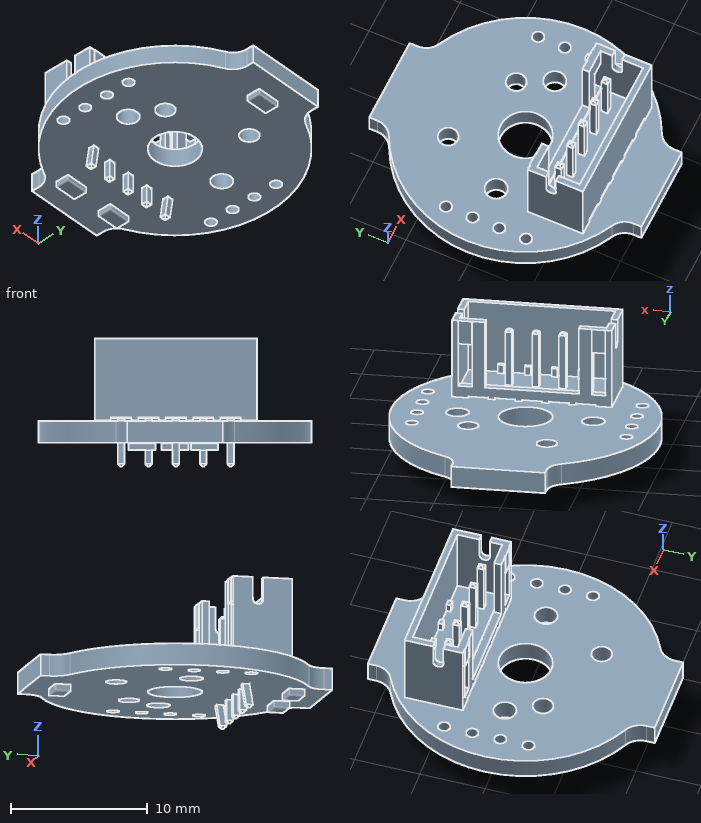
import cadquery as cq
import math

BOARD_DIAMETER = 20.0
BOARD_LENGTH = 22.0
BOARD_THICKNESS = 1.6
BOARD_BOTTOM_Z = -BOARD_THICKNESS
TAB_WIDTH = 7.0
TAB_FILLET = 1.5

HOLE_GRID = 2.53
BORE_DIAMETER = 3.98
SIDE_HOLE_DIAMETER = 1.7
UPPER_HOLE_DIAMETER = 1.52
EDGE_HOLE_DIAMETER = 0.9
EDGE_HOLE_PITCH = 2.15
EDGE_HOLE_COUNT = 4
EDGE_ROW_CENTERS = [(-8.0, -0.55), (7.96, -0.53)]

HOUSING_X = 0.07
HOUSING_WIDTH = 11.9
HOUSING_HEIGHT = 6.0
HOUSING_FRONT_Y = -7.4
HOUSING_BACK_Y = -2.93
HOUSING_BOTTOM_Z = 0.05
RIM_Z = HOUSING_BOTTOM_Z + HOUSING_HEIGHT

WALL = 0.48
BACK_WALL = 0.55
SILL_WALL = 0.62
FLOOR_HEIGHT = 0.65
SILL_HEIGHT = 0.88
INNER_WIDTH = HOUSING_WIDTH - 2 * WALL
INNER_FRONT_Y = HOUSING_FRONT_Y + WALL
INNER_BACK_Y = HOUSING_BACK_Y - BACK_WALL
FLOOR_Z = HOUSING_BOTTOM_Z + FLOOR_HEIGHT
SILL_Z = HOUSING_BOTTOM_Z + SILL_HEIGHT

BACK_OPENING_WIDTH = 7.0
WINDOW_WIDTH = 1.01
LINTEL_HEIGHT = 1.8
LINTEL_PROUD = 0.05
LINTEL_Z = RIM_Z - LINTEL_HEIGHT

NOTCH_WIDTH = 0.8
NOTCH_DEPTH = 2.0
NOTCH_Y = -4.82

RIB_WIDTH = 0.45
RIB_DEPTH = 0.33
RIB_HEIGHT = 0.65

CHANNEL_WIDTH = 1.5
CHANNEL_HEIGHT = 0.1
CHANNEL_MOUTH_HEIGHT = 0.25
CHANNEL_MOUTH_DEPTH = 0.07

PIN_COUNT = 5
PIN_PITCH = 2.0
PIN_SIZE = 0.5
PIN_Y = -4.6
PIN_TOP_Z = RIM_Z - 1.01
PIN_END_Z = HOUSING_BOTTOM_Z - 3.39
PIN_TIP = 0.2
KINK_OFFSET = 0.26
KINK_START_Z = -0.22
PIN_XS = [HOUSING_X + (i - (PIN_COUNT - 1) / 2) * PIN_PITCH for i in range(PIN_COUNT)]

CHIP_WIDTH = 2.0
CHIP_DEPTH = 1.2
CHIP_HEIGHT = 0.5
CHIP_FILLET = 0.05
CHIP_GAP = 0.02
CHIP_CENTERS = [(-2.42, -8.34), (2.15, -8.34), (0.0, 8.7)]


def box(x_mid, width, y_min, y_max, z_min, z_max):
    """Box centered on x_mid, between two Y limits and two Z limits."""
    block = cq.Workplane("XY").box(width, y_max - y_min, z_max - z_min, centered=(True, False, False))
    return block.translate((x_mid, y_min, z_min))


def prism(x_mid, width, profile):
    """Extrusion along X, centered on x_mid, of a closed profile of (Y, Z) points."""
    solid = cq.Workplane("YZ").polyline(profile).close().extrude(width / 2, both=True)
    return solid.translate((x_mid, 0, 0))



def board_outline():
    radius = BOARD_DIAMETER / 2
    half_tab = TAB_WIDTH / 2
    joint_y = math.sqrt(radius**2 - half_tab**2)
    seam_in_tab = cq.Plane(origin=(0, 0, 0), xDir=(0, 1, 0), normal=(0, 0, 1))
    disc = cq.Workplane(seam_in_tab).circle(radius).extrude(-BOARD_THICKNESS)
    tabs = cq.Workplane("XY").rect(TAB_WIDTH, BOARD_LENGTH).extrude(-BOARD_THICKNESS)
    margin = 0.22
    joints = cq.selectors.BoxSelector(
        (-half_tab - margin, -joint_y - margin, BOARD_BOTTOM_Z - margin),
        (half_tab + margin, joint_y + margin, margin),
    )
    return disc.union(tabs).edges("|Z").edges(joints).fillet(TAB_FILLET)


def drills(centers, diameter):
    return cq.Workplane("XY").pushPoints(centers).circle(diameter / 2).extrude(-BOARD_THICKNESS)


def make_board():
    board = board_outline()
    board = board.cut(drills([(0, 0)], BORE_DIAMETER))
    side_centers = [(-2 * HOLE_GRID, 0), (2 * HOLE_GRID, 0)]
    board = board.cut(drills(side_centers, SIDE_HOLE_DIAMETER))
    upper_centers = [(-HOLE_GRID, 2 * HOLE_GRID), (1.5 * HOLE_GRID, HOLE_GRID)]
    board = board.cut(drills(upper_centers, UPPER_HOLE_DIAMETER))
    for row_x, row_y in EDGE_ROW_CENTERS:
        first_y = row_y - (EDGE_HOLE_COUNT - 1) / 2 * EDGE_HOLE_PITCH
        row = [(row_x, first_y + i * EDGE_HOLE_PITCH) for i in range(EDGE_HOLE_COUNT)]
        board = board.cut(drills(row, EDGE_HOLE_DIAMETER))
    return board



def housing_shell():
    shell = box(HOUSING_X, HOUSING_WIDTH, HOUSING_FRONT_Y, HOUSING_BACK_Y, HOUSING_BOTTOM_Z, RIM_Z)
    low_cavity = box(HOUSING_X, INNER_WIDTH, INNER_FRONT_Y, HOUSING_BACK_Y - SILL_WALL, FLOOR_Z, RIM_Z)
    high_cavity = box(HOUSING_X, INNER_WIDTH, INNER_FRONT_Y, INNER_BACK_Y, SILL_Z, RIM_Z)
    back_opening = box(HOUSING_X, BACK_OPENING_WIDTH, INNER_BACK_Y, HOUSING_BACK_Y, SILL_Z, RIM_Z)
    return shell.cut(low_cavity).cut(high_cavity).cut(back_opening)


def corner_windows():
    offset = (INNER_WIDTH - WINDOW_WIDTH) / 2
    return [
        box(HOUSING_X + side * offset, WINDOW_WIDTH, INNER_BACK_Y, HOUSING_BACK_Y, SILL_Z, LINTEL_Z)
        for side in (-1, 1)
    ]


def lintels():
    offset = (INNER_WIDTH - WINDOW_WIDTH) / 2
    lintel_back_y = HOUSING_BACK_Y + LINTEL_PROUD
    return [
        box(HOUSING_X + side * offset, WINDOW_WIDTH, INNER_BACK_Y, lintel_back_y, LINTEL_Z, RIM_Z)
        for side in (-1, 1)
    ]


def side_notch():
    """Cutter that runs through both side walls."""
    radius = NOTCH_WIDTH / 2
    round_z = RIM_Z - NOTCH_DEPTH + radius
    slot = box(HOUSING_X, HOUSING_WIDTH, NOTCH_Y - radius, NOTCH_Y + radius, round_z, RIM_Z)
    bottom = cq.Workplane("YZ").center(NOTCH_Y, round_z).circle(radius).extrude(HOUSING_WIDTH / 2, both=True)
    return slot.union(bottom.translate((HOUSING_X, 0, 0)))


def rib(x):
    rib_top_z = FLOOR_Z + RIB_HEIGHT
    return box(x, RIB_WIDTH, HOUSING_FRONT_Y + WALL / 2, INNER_FRONT_Y + RIB_DEPTH, FLOOR_Z, rib_top_z)


def bottom_channel(x):
    roof_z = HOUSING_BOTTOM_Z + CHANNEL_HEIGHT
    profile = [
        (HOUSING_FRONT_Y, HOUSING_BOTTOM_Z),
        (HOUSING_BACK_Y, HOUSING_BOTTOM_Z),
        (HOUSING_BACK_Y, roof_z),
        (HOUSING_FRONT_Y + CHANNEL_MOUTH_DEPTH, roof_z),
        (HOUSING_FRONT_Y, HOUSING_BOTTOM_Z + CHANNEL_MOUTH_HEIGHT),
    ]
    return prism(x, CHANNEL_WIDTH, profile)


def straight_pin(x):
    half = PIN_SIZE / 2
    pin = box(x, PIN_SIZE, PIN_Y - half, PIN_Y + half, PIN_END_Z, PIN_TOP_Z)
    return pin.faces("<Z or >Z").chamfer(PIN_TIP)


def kinked_pin(x):
    """Pin that bends toward +Y inside the board and returns to its line at the lower tip."""
    half = PIN_SIZE / 2
    shaft_end_z = PIN_END_Z + PIN_TIP
    center_line = [(PIN_Y, KINK_START_Z), (PIN_Y + KINK_OFFSET, BOARD_BOTTOM_Z), (PIN_Y, shaft_end_z)]
    front_side = [(y - half, z) for y, z in center_line]
    back_side = [(y + half, z) for y, z in reversed(center_line)]
    bend = prism(x, PIN_SIZE, front_side + back_side)
    straight_stretch = box(x, PIN_SIZE, PIN_Y - half, PIN_Y + half, shaft_end_z, KINK_START_Z)
    return straight_pin(x).cut(straight_stretch).union(bend)


def make_connector():
    connector = housing_shell()
    for window in corner_windows():
        connector = connector.cut(window)
    for lintel in lintels():
        connector = connector.union(lintel)
    connector = connector.cut(side_notch())
    for x in PIN_XS[:-1]:
        connector = connector.union(rib(x + PIN_PITCH / 2))
    for x in PIN_XS:
        connector = connector.cut(bottom_channel(x))
    for x in PIN_XS[1:-1]:
        connector = connector.union(straight_pin(x))
    for x in (PIN_XS[0], PIN_XS[-1]):
        connector = connector.union(kinked_pin(x))
    return connector



def make_chip(x, y):
    top_z = BOARD_BOTTOM_Z - CHIP_GAP
    half_depth = CHIP_DEPTH / 2
    chip = box(x, CHIP_WIDTH, y - half_depth, y + half_depth, top_z - CHIP_HEIGHT, top_z)
    return chip.edges().fillet(CHIP_FILLET)



connector = make_connector()
board = make_board().cut(connector)
chips = [make_chip(x, y).val() for x, y in CHIP_CENTERS]

result = cq.Compound.makeCompound([board.val(), connector.val(), *chips])